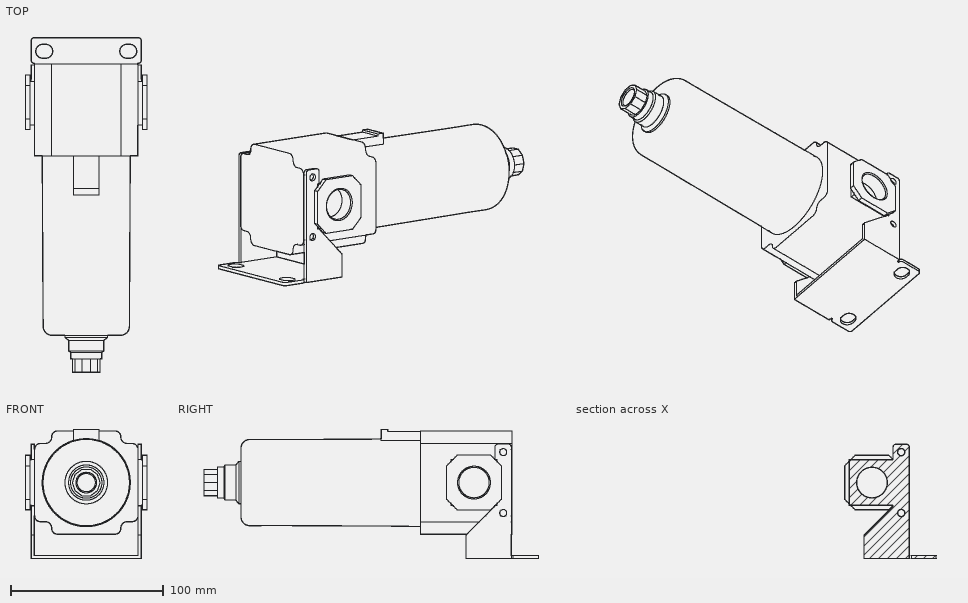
import cadquery as cq


body_size = 68.0
body_back = 25.0
body_front = -35.2
corner_step_width = 11.2
corner_step_height = 8.2
corner_radius = 4.0

port_span = 80.0
flange_size = 36.0
flange_thickness = 3.2
flange_chamfer = 7.0
neck_size = 30.0
port_hole_diameter = 20.0
port_hole_depth = 10.0
port_lead_in = 0.8

bowl_top_radius = 29.0
bowl_end_radius = 28.4
bowl_end = -153.2
bowl_fillet = 6.0

drain_shoulder_radius = 14.0
drain_shoulder_end = -154.5
drain_body_radius = 11.6
drain_body_start = -156.5
drain_body_end = -163.5
drain_collar_radius = 10.3
drain_collar_start = -164.4
drain_collar_end = -168.6
knob_sides = 10
knob_radius = 9.1
knob_end = -177.5
drain_hole_diameter = 12.0
drain_hole_depth = 10.0
drain_hole_lead_in = 0.8

latch_width = 16.8
latch_end = -61.0
latch_bottom = 26.0
latch_top = 33.6
lip_length = 4.4
lip_top = 35.0

sheet = 2.2
bracket_bottom = -50.0
bracket_back = 24.5
bracket_foot_front = -5.4
bracket_arm_front = 13.8
bracket_arm_top = 25.3
bracket_slope_bottom = -34.6
bracket_round = 2.0
bracket_hole_diameter = 4.6
bracket_hole_y = 19.2
bracket_hole_z = 20.0
lug_back = 42.5
lug_front = 25.5
slot_length = 11.0
slot_width = 9.0
slot_x = 27.6
slot_y = 33.5

body_half = body_size / 2
port_face = port_span / 2
flange_inner = port_face - flange_thickness
bracket_half = body_half + sheet


def plane_facing_front(y):
    """Work plane across the bowl axis: X right, Z up, extruding toward -Y."""
    return cq.Workplane("XZ", origin=(0, y, 0))


def box(x_range, y_range, z_range):
    """Box between the given low and high limits on each axis."""
    size = [high - low for low, high in (x_range, y_range, z_range)]
    corner = (x_range[0], y_range[0], z_range[0])
    return cq.Workplane("XY").box(*size, centered=False).translate(corner)


def make_body():
    """Square block with each long corner stepped in and every edge of the step rounded."""
    length = body_back - body_front
    block = plane_facing_front(body_back).rect(body_size, body_size).extrude(length)
    corners = (
        plane_facing_front(body_back)
        .rect(body_size, body_size, forConstruction=True)
        .vertices()
        .rect(2 * corner_step_width, 2 * corner_step_height)
        .extrude(length)
    )
    return block.cut(corners).edges("|Y").fillet(corner_radius)


def make_port():
    """Square neck and chamfered square flange on the -X side."""
    neck_length = flange_inner - body_half
    neck = (
        cq.Workplane("YZ", origin=(-flange_inner, 0, 0))
        .rect(neck_size, neck_size)
        .extrude(neck_length)
    )
    flange = (
        cq.Workplane("YZ", origin=(-port_face, 0, 0))
        .rect(flange_size, flange_size)
        .extrude(flange_thickness)
        .edges("|X")
        .chamfer(flange_chamfer)
    )
    return neck.union(flange)


def make_port_hole():
    """Blind hole with a chamfered mouth, cut into the -X port."""
    radius = port_hole_diameter / 2
    hole_end = port_face - port_hole_depth
    profile = [
        (-port_face, 0),
        (-port_face, radius + port_lead_in),
        (-port_face + port_lead_in, radius),
        (-hole_end, radius),
        (-hole_end, 0),
    ]
    return cq.Workplane("XY").polyline(profile).close().revolve(360, (0, 0), (1, 0))


def make_bowl():
    """Slightly tapered bowl with a rounded bottom edge."""
    profile = [
        (0, body_front),
        (bowl_top_radius, body_front),
        (bowl_end_radius, bowl_end),
        (0, bowl_end),
    ]
    bowl = cq.Workplane("XY").polyline(profile).close().revolve(360, (0, 0), (0, 1))
    return bowl.faces("<Y").edges().fillet(bowl_fillet)


def make_drain():
    """Stepped round drain fitting ending in a many-sided knob."""
    profile = [
        (0, bowl_end),
        (drain_shoulder_radius, bowl_end),
        (drain_shoulder_radius, drain_shoulder_end),
        (drain_body_radius, drain_body_start),
        (drain_body_radius, drain_body_end),
        (drain_collar_radius, drain_collar_start),
        (drain_collar_radius, drain_collar_end),
        (0, drain_collar_end),
    ]
    stem = cq.Workplane("XY").polyline(profile).close().revolve(360, (0, 0), (0, 1))
    knob = (
        plane_facing_front(drain_collar_end)
        .polygon(knob_sides, 2 * knob_radius)
        .extrude(drain_collar_end - knob_end)
    )
    hole = (
        plane_facing_front(knob_end + drain_hole_depth)
        .circle(drain_hole_diameter / 2)
        .extrude(drain_hole_depth)
    )
    drain = stem.union(knob).cut(hole)
    return drain.faces("<Y").edges("%CIRCLE").chamfer(drain_hole_lead_in)


def make_latch():
    """Flat tab above the bowl with a raised lip at its free end."""
    width = (-latch_width / 2, latch_width / 2)
    tab = box(width, (latch_end, body_front), (latch_bottom, latch_top))
    lip = box(width, (latch_end, latch_end + lip_length), (latch_bottom, lip_top))
    return tab.union(lip)


def make_bracket_side():
    """Side plate on the -X side with a sloped front and two screw holes."""
    slope_height = bracket_arm_front - bracket_foot_front
    profile = [
        (bracket_back, bracket_bottom),
        (bracket_foot_front, bracket_bottom),
        (bracket_foot_front, bracket_slope_bottom),
        (bracket_arm_front, bracket_slope_bottom + slope_height),
        (bracket_arm_front, bracket_arm_top),
        (bracket_back, bracket_arm_top),
    ]
    start = cq.Workplane("YZ", origin=(-bracket_half, 0, 0))
    plate = start.polyline(profile).close().extrude(sheet)
    plate = plate.faces(">Z").edges("|X").fillet(bracket_round)
    holes = (
        start.pushPoints([(bracket_hole_y, -bracket_hole_z), (bracket_hole_y, bracket_hole_z)])
        .circle(bracket_hole_diameter / 2)
        .extrude(sheet)
    )
    return plate.cut(holes)


def make_bracket_base():
    """Base plate between the sides, widening into a rounded lug with two slots."""
    bottom = (bracket_bottom, bracket_bottom + sheet)
    base = box((-body_half, body_half), (bracket_foot_front, lug_front + bracket_round), bottom)
    lug = box((-bracket_half, bracket_half), (lug_front, lug_back), bottom)
    lug = lug.edges("|Z").fillet(bracket_round)
    slots = (
        cq.Workplane("XY", origin=(0, 0, bracket_bottom))
        .pushPoints([(-slot_x, slot_y), (slot_x, slot_y)])
        .slot2D(slot_length, slot_width)
        .extrude(sheet)
    )
    return base.union(lug).cut(slots)


def both_sides(shape):
    """The shape together with its mirror image across the YZ plane."""
    return shape.union(shape.mirror("YZ"))


result = (
    make_body()
    .union(make_bowl())
    .union(make_drain())
    .union(make_latch())
    .union(both_sides(make_port()))
    .union(both_sides(make_bracket_side()))
    .union(make_bracket_base())
    .cut(both_sides(make_port_hole()))
)